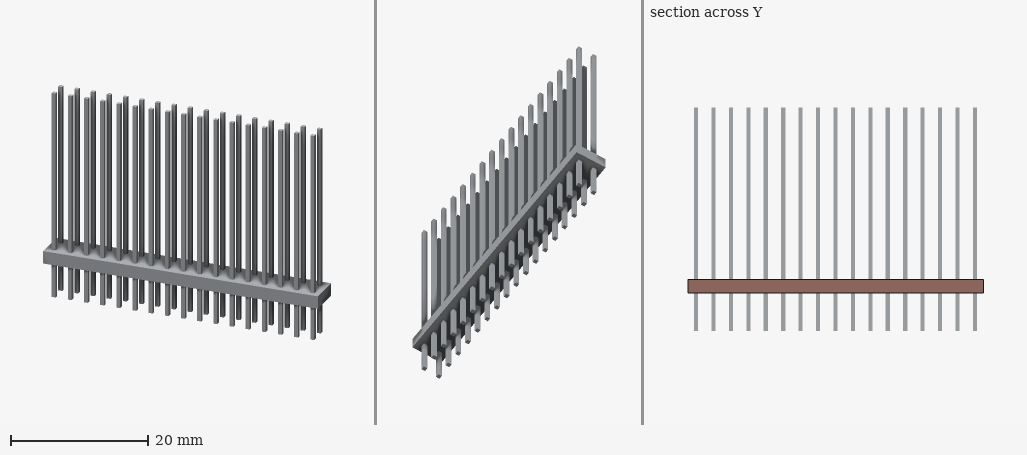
import cadquery as cq

body_length = 43.2
pins_per_row = 17
row_count = 2
pitch = body_length / pins_per_row
body_width = row_count * pitch
body_height = 2.0

pin_side = 0.6
total_height = 32.55
tail_length = 5.55


def make_body():
    """Plain rectangular insulator block."""
    return cq.Workplane("XY").box(
        body_length, body_width, body_height, centered=(True, True, False)
    )


def make_pins():
    """Square pins on a regular grid, running through the body."""
    return (
        cq.Workplane("XY")
        .workplane(offset=-tail_length)
        .rarray(pitch, pitch, pins_per_row, row_count)
        .rect(pin_side, pin_side)
        .extrude(total_height)
    )


result = make_body().union(make_pins())